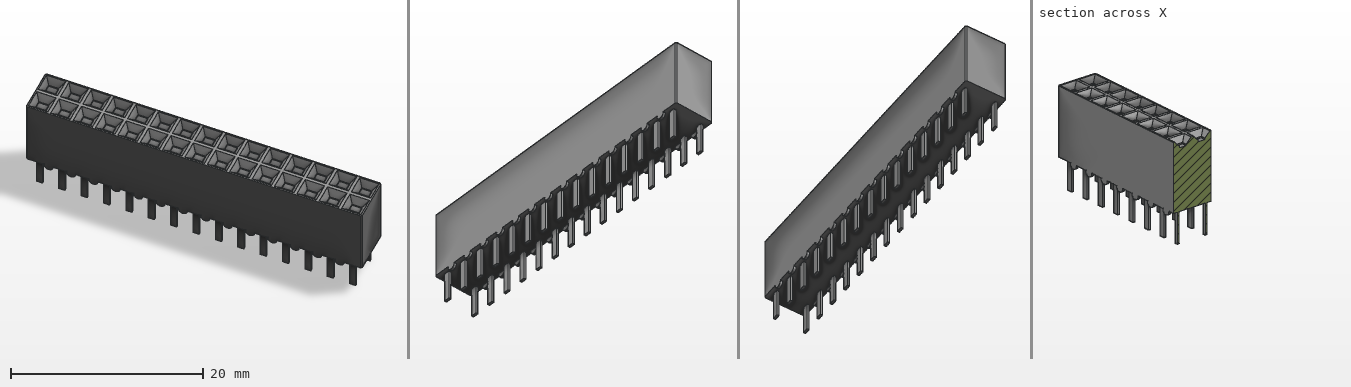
import cadquery as cq

length = 38.1
width = 5.03
total_height = 11.7
housing_height = 8.08
corner_chamfer = 0.135
columns = 15
pitch = length / columns
row_offset = width / 4

divider = 0.35
funnel_length = pitch - divider
funnel_width = width / 2 - divider
floor_length = 1.15
floor_width = 0.85
funnel_depth = 0.65
recess_depth = 0.15

tail_length = total_height - housing_height
tail_width = 0.7
tail_thickness = 0.25
tail_offset = 1.85
tail_root = 0.4

foot_radius = 0.5
foot_shoulder = 0.08
foot_thickness = 0.3


def column_positions(count):
    """X positions of a centred row at the contact pitch."""
    return [(i - (count - 1) / 2) * pitch for i in range(count)]


def make_housing():
    block = cq.Workplane("XY").box(length, width, housing_height, centered=(True, True, False))
    return block.edges("|Z").chamfer(corner_chamfer)


def make_openings():
    points = [(x, y) for x in column_positions(columns) for y in (-row_offset, row_offset)]
    funnel = (
        cq.Workplane("XY", origin=(0, 0, housing_height))
        .rect(funnel_length, funnel_width)
        .workplane(offset=-funnel_depth)
        .rect(floor_length, floor_width)
        .loft(ruled=True)
    )
    opening = funnel.faces("<Z").workplane().rect(floor_length, floor_width).extrude(recess_depth).val()
    return cq.Workplane("XY").pushPoints(points).eachpoint(lambda place: opening.moved(place))


def make_tails():
    points = [(x, y) for x in column_positions(columns) for y in (-tail_offset, tail_offset)]
    return (
        cq.Workplane("XY", origin=(0, 0, -tail_length))
        .pushPoints(points)
        .rect(tail_width, tail_thickness)
        .extrude(tail_length + tail_root)
    )


def make_foot(x, outer_y):
    """Round-tipped foot with its outer face at outer_y, growing inward."""
    inward = foot_thickness if outer_y < 0 else -foot_thickness
    return (
        cq.Workplane("XZ", origin=(x, outer_y, 0))
        .moveTo(-foot_radius, 0)
        .lineTo(-foot_radius, -foot_shoulder)
        .threePointArc((0, -foot_shoulder - foot_radius), (foot_radius, -foot_shoulder))
        .lineTo(foot_radius, 0)
        .close()
        .extrude(-inward)
    )


result = make_housing().cut(make_openings()).union(make_tails())
for foot_x in column_positions(columns - 1):
    for side_y in (-width / 2, width / 2):
        result = result.union(make_foot(foot_x, side_y))